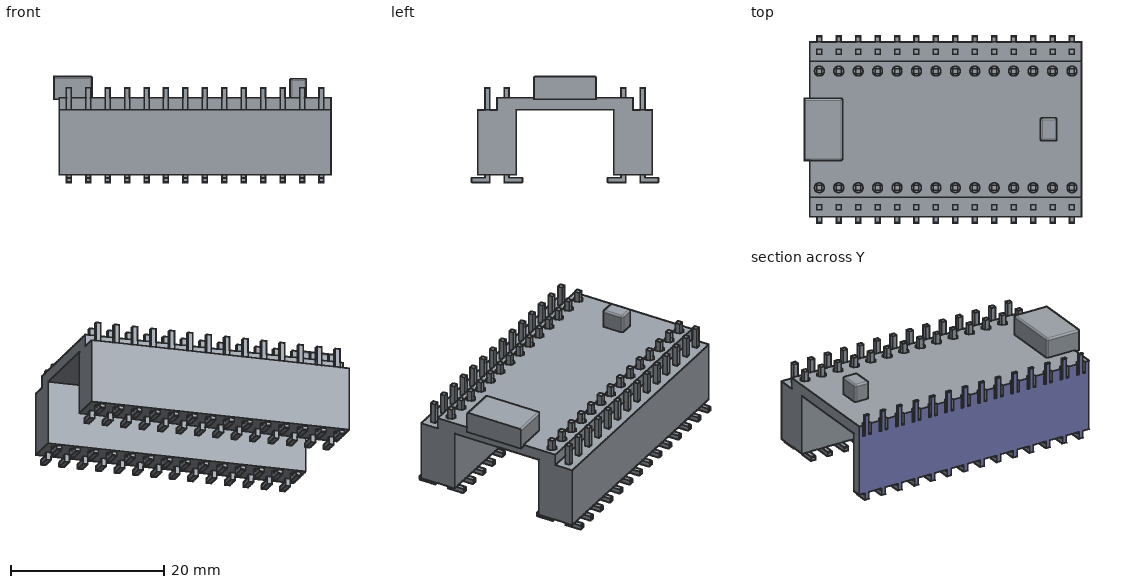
import cadquery as cq

board_length = 35.57
pins_per_row = 14
pitch = board_length / pins_per_row
pin_side = 0.65
overall_length = 36.25
overall_width = 24.48
overall_height = 13.9
outer_row_y = 4 * pitch
inner_row_y = 3 * pitch

block_bottom = 1.0
block_top = 9.5
board_top = 11.1
pin_top = 12.35

block_width = 2 * pitch
block_center_y = (outer_row_y + inner_row_y) / 2
board_width = 2 * block_center_y
pin_hole_diameter = 1.27
foot_tip_overhang = overall_width / 2 - outer_row_y
foot_tip_chamfer = 0.1

connector_length = 5.0
connector_width = 8.15
connector_height = 3.0
connector_overhang = overall_length - board_length
button_length = 2.18
button_width = 3.0
button_height = 2.5
button_end_gap = 3.23
edge_radius = 0.25


def box_between(x_range, y_range, z_range):
    """Box spanning the given (low, high) range on each axis."""
    spans = [high - low for low, high in (x_range, y_range, z_range)]
    corner = (x_range[0], y_range[0], z_range[0])
    return cq.Workplane("XY").box(*spans, centered=False).translate(corner)


def centered_range(center, size):
    return (center - size / 2, center + size / 2)


def make_board():
    """Circuit board with a clearance hole around every inner-row pin."""
    board = box_between(
        centered_range(0, board_length),
        centered_range(0, board_width),
        (block_top, board_top),
    )
    holes = (
        cq.Workplane("XY", origin=(0, 0, block_top))
        .rarray(pitch, 2 * inner_row_y, pins_per_row, 2)
        .circle(pin_hole_diameter / 2)
        .extrude(board_top - block_top)
    )
    return board.cut(holes)


def make_block(side):
    """Header block under one long edge of the board (side is -1 or +1)."""
    return box_between(
        centered_range(0, board_length),
        centered_range(side * block_center_y, block_width),
        (block_bottom, block_top),
    )


def make_pin(x, row_y, foot_direction):
    """Square pin through a header block, bent into a foot along Y with a chamfered tip."""
    heel = -pin_side / 2
    shank = pin_side / 2
    profile = [
        (heel, 0),
        (foot_tip_overhang - foot_tip_chamfer, 0),
        (foot_tip_overhang, foot_tip_chamfer),
        (foot_tip_overhang, pin_side - foot_tip_chamfer),
        (foot_tip_overhang - foot_tip_chamfer, pin_side),
        (shank, pin_side),
        (shank, pin_top),
        (heel, pin_top),
    ]
    outline = [(row_y + foot_direction * y, z) for y, z in profile]
    return (
        cq.Workplane("YZ", origin=(x, 0, 0))
        .polyline(outline)
        .close()
        .extrude(pin_side / 2, both=True)
    )


def make_connector():
    """Connector overhanging the -X board end, its mating face left sharp."""
    start_x = -board_length / 2 - connector_overhang
    body = box_between(
        (start_x, start_x + connector_length),
        centered_range(0, connector_width),
        (overall_height - connector_height, overall_height),
    )
    rounded = body.edges("(>Z or >X) and (not <X) and (not <Z)")
    return rounded.fillet(edge_radius)


def make_button():
    """Button on the board with rounded upright and top edges."""
    end_x = board_length / 2 - button_end_gap
    body = box_between(
        (end_x - button_length, end_x),
        centered_range(0, button_width),
        (board_top, board_top + button_height),
    )
    return body.edges("|Z or >Z").fillet(edge_radius)


result = make_board()
for side in (-1, 1):
    result = result.union(make_block(side))
    for index in range(pins_per_row):
        pin_x = (index - (pins_per_row - 1) / 2) * pitch
        result = result.union(make_pin(pin_x, side * outer_row_y, side))
        result = result.union(make_pin(pin_x, side * inner_row_y, -side))
result = result.union(make_connector())
result = result.union(make_button())